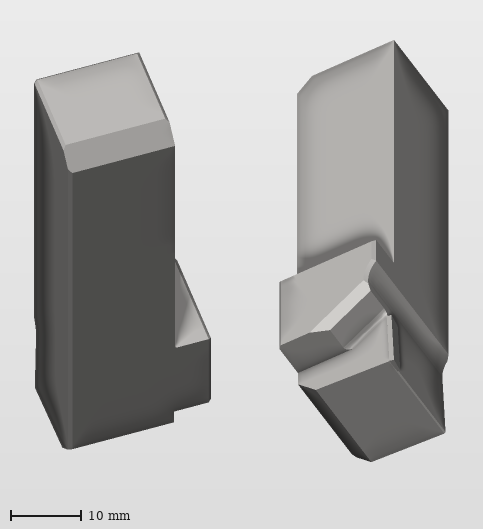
import cadquery as cq
import math

LENGTH = 70.0
WIDTH = 15.95
SHANK_DEPTH = 15.95
HEAD_DEPTH = 21.5

CORNER_CHAMFER = 2.95
EDGE_CHAMFER = 0.5
GROOVE_RADIUS = 5.25
GROOVE_DEPTH = 1.3
GROOVE_BOTTOM = 13.0
RAKE_ANGLE = 2.5
HEEL_Z = 1.2
FRONT_Z = 0.4
FRONT_BREAK = 0.2

WING_TOP = 21.0
WING_BOTTOM = 6.6
WING_INNER_RADIUS = 0.3
RELIEF_TOP = 11.3
RELIEF_ANGLE = 35.0
RELIEF_RADIUS = 0.85
RELIEF_CHAMFER_WIDTH = 1.05
RELIEF_CHAMFER_HEIGHT = 1.95
SIDE_CLEARANCE = 0.2

INSERT_WIDTH = 2.4
INSERT_TOP = 10.15
INSERT_TOP_INSET = 0.4
INSERT_SIDE_RISE = 0.3
INSERT_INNER_SETBACK = 0.35
INSERT_TOP_DROP = 0.15
INSERT_BACK_RISE = 0.2

RAKE_SLOPE = math.tan(math.radians(RAKE_ANGLE))
RELIEF_WALL_Y = SHANK_DEPTH - SIDE_CLEARANCE
MARGIN = 3.5


def rake_x(z):
    """X of the rake face at height z."""
    return GROOVE_DEPTH - (GROOVE_BOTTOM - z) * RAKE_SLOPE


def block(x_range, y_range, z_range):
    """Axis-aligned box between the given limits."""
    (x0, x1), (y0, y1), (z0, z1) = x_range, y_range, z_range
    return cq.Workplane("XY").box(x1 - x0, y1 - y0, z1 - z0, centered=False).translate((x0, y0, z0))


def head_prism():
    """Holder outline with groove and rake face, as deep as the wing."""
    center_x = GROOVE_DEPTH - GROOVE_RADIUS
    sweep = math.acos(-center_x / GROOVE_RADIUS)
    groove_top = GROOVE_BOTTOM + GROOVE_RADIUS * math.sin(sweep)
    groove_middle = (
        center_x + GROOVE_RADIUS * math.cos(sweep / 2),
        GROOVE_BOTTOM + GROOVE_RADIUS * math.sin(sweep / 2),
    )
    return (
        cq.Workplane("XZ")
        .moveTo(0, LENGTH)
        .lineTo(0, groove_top)
        .threePointArc(groove_middle, (GROOVE_DEPTH, GROOVE_BOTTOM))
        .lineTo(rake_x(FRONT_Z + FRONT_BREAK), FRONT_Z + FRONT_BREAK)
        .lineTo(rake_x(FRONT_Z) + FRONT_BREAK, FRONT_Z)
        .lineTo(WIDTH - CORNER_CHAMFER, HEEL_Z)
        .lineTo(WIDTH, HEEL_Z + CORNER_CHAMFER)
        .lineTo(WIDTH, LENGTH - CORNER_CHAMFER)
        .lineTo(WIDTH - CORNER_CHAMFER, LENGTH)
        .close()
        .extrude(-HEAD_DEPTH)
    )


def cut_above_wing(body):
    """Narrow the upper part to the shank, with a small fillet at the wing."""
    above = block((-MARGIN, WIDTH + MARGIN), (SHANK_DEPTH, HEAD_DEPTH + MARGIN), (WING_TOP, LENGTH + MARGIN))
    inner_edge = cq.selectors.NearestToPointSelector((WIDTH / 2, SHANK_DEPTH, WING_TOP))
    return body.cut(above.edges(inner_edge).fillet(WING_INNER_RADIUS))


def cut_below_wing(body):
    """End the wing in a level bottom face."""
    y_range = (RELIEF_WALL_Y, HEAD_DEPTH + MARGIN)
    return body.cut(block((-MARGIN, WIDTH + MARGIN), y_range, (-MARGIN, WING_BOTTOM)))


def chamfer_edges(body):
    """Break the shank's top and long edges and the wing's outer edges."""
    points = [
        (0, 0, LENGTH / 2),
        (WIDTH, 0, LENGTH / 2),
        (0, SHANK_DEPTH / 2, LENGTH),
        (WIDTH / 2, 0, LENGTH),
        (WIDTH / 2, SHANK_DEPTH, LENGTH),
    ]
    edges = body.edges(cq.selectors.NearestToPointSelector(points[0]))
    for point in points[1:]:
        edges = edges.add(body.edges(cq.selectors.NearestToPointSelector(point)))
    body = edges.chamfer(EDGE_CHAMFER)
    return body.faces(">Y").edges("not(<Z)").chamfer(EDGE_CHAMFER)


def cut_relief(body):
    """Remove the space below the wing under a sloping, rounded roof."""
    far_y = HEAD_DEPTH + MARGIN
    chamfer_slope = RELIEF_CHAMFER_HEIGHT / RELIEF_CHAMFER_WIDTH
    start_x = rake_x(RELIEF_TOP)
    fall = math.tan(math.radians(RELIEF_ANGLE))
    near_x = start_x - 2 * MARGIN
    roof_z = RELIEF_TOP + 2 * MARGIN * fall
    run = WIDTH + 4 * MARGIN
    shift = cq.Vector(run, 0, -run * fall)
    chamfer_y = HEAD_DEPTH - RELIEF_CHAMFER_WIDTH
    arc_drop = RELIEF_RADIUS * (1 - math.sqrt(0.5))
    floor_z = -LENGTH / 2
    section = (
        cq.Workplane("YZ", origin=(near_x, 0, 0))
        .moveTo(RELIEF_WALL_Y, floor_z)
        .lineTo(RELIEF_WALL_Y, roof_z - RELIEF_RADIUS)
        .threePointArc(
            (RELIEF_WALL_Y + arc_drop, roof_z - arc_drop),
            (RELIEF_WALL_Y + RELIEF_RADIUS, roof_z),
        )
        .lineTo(chamfer_y, roof_z)
        .lineTo(far_y, roof_z + (far_y - chamfer_y) * chamfer_slope)
        .lineTo(far_y, floor_z)
        .close()
        .wire()
        .val()
    )
    under_roof = cq.Workplane(cq.Solid.extrudeLinear(cq.Face.makeFromWires(section), shift))
    return body.cut(under_roof)


def make_holder():
    """Holder with its side wing, groove and relief."""
    body = cut_below_wing(cut_above_wing(head_prism()))
    return cut_relief(chamfer_edges(body))


def make_insert():
    """Thin cutting tip lying on the rake face at its +Y end."""
    inner_y = SHANK_DEPTH - INSERT_WIDTH
    bar = (
        cq.Workplane("XZ", origin=(0, inner_y, 0))
        .moveTo(rake_x(INSERT_TOP), INSERT_TOP)
        .lineTo(INSERT_TOP_INSET, INSERT_TOP - INSERT_TOP_DROP)
        .lineTo(0, 0)
        .lineTo(rake_x(INSERT_BACK_RISE), INSERT_BACK_RISE)
        .close()
        .extrude(-INSERT_WIDTH)
    )
    below_edge = (
        cq.Workplane("YZ", origin=(-MARGIN, 0, 0))
        .polyline([(SHANK_DEPTH, 0), (inner_y, INSERT_SIDE_RISE), (inner_y, -MARGIN), (SHANK_DEPTH, -MARGIN)])
        .close()
        .extrude(2 * MARGIN)
    )
    lean = cq.Vector(INSERT_TOP_INSET, 0, INSERT_TOP - INSERT_TOP_DROP)
    wedge = cq.Wire.makePolygon(
        [
            cq.Vector(0, SHANK_DEPTH, 0),
            cq.Vector(INSERT_INNER_SETBACK, inner_y, 0),
            cq.Vector(-MARGIN, inner_y, 0),
            cq.Vector(-MARGIN, SHANK_DEPTH, 0),
        ],
        close=True,
    )
    wedge = wedge.translate(lean * -1)
    outside = cq.Solid.extrudeLinear(cq.Face.makeFromWires(wedge), lean * 3)
    return bar.cut(below_edge).cut(cq.Workplane(outside))


holder = make_holder()
insert = make_insert()
result = cq.Compound.makeCompound([holder.val(), insert.val()])